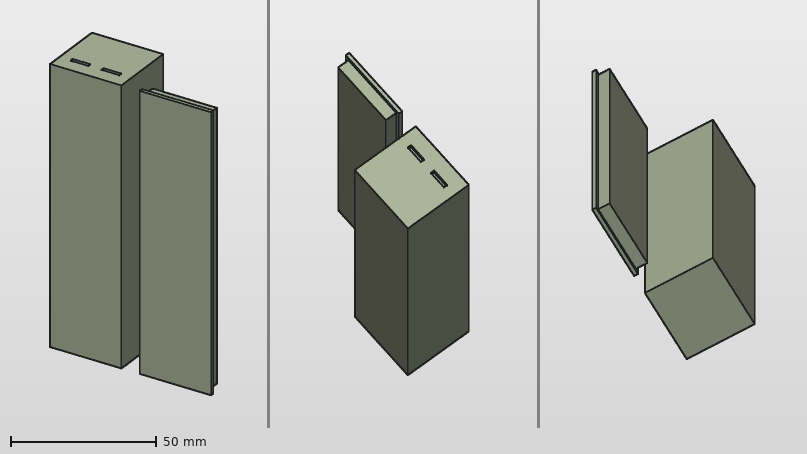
import cadquery as cq

height = 110.7
body_width = 29.1
overall_width = 65.6

housing_depth = 27.0
slot_length = 7.2
slot_width = 1.4
slot_depth = 1.5
slot_side_margin = 4.6
slot_front_margin = 5.9

plate_thickness = 1.5
block_thickness = 4.5
block_inset = 1.4
cover_left = overall_width - body_width


def corner_box(width, depth, tall, corner):
    """Box whose left, front, bottom corner is at the given point."""
    return cq.Workplane("XY").box(width, depth, tall, centered=False).translate(corner)


def make_housing():
    housing = corner_box(body_width, housing_depth, height, (0, 0, 0))
    right_slot_left = body_width - slot_side_margin - slot_length
    for slot_left in (slot_side_margin, right_slot_left):
        slot_corner = (slot_left, slot_front_margin, height - slot_depth)
        housing = housing.cut(corner_box(slot_length, slot_width, slot_depth, slot_corner))
    return housing


def make_cover():
    plate = corner_box(body_width, plate_thickness, height, (cover_left, 0, 0))
    block = corner_box(
        body_width - 2 * block_inset,
        block_thickness,
        height - 2 * block_inset,
        (cover_left + block_inset, plate_thickness, block_inset),
    )
    return plate.union(block)


housing = make_housing()
cover = make_cover()
result = cq.Compound.makeCompound([housing.val(), cover.val()])